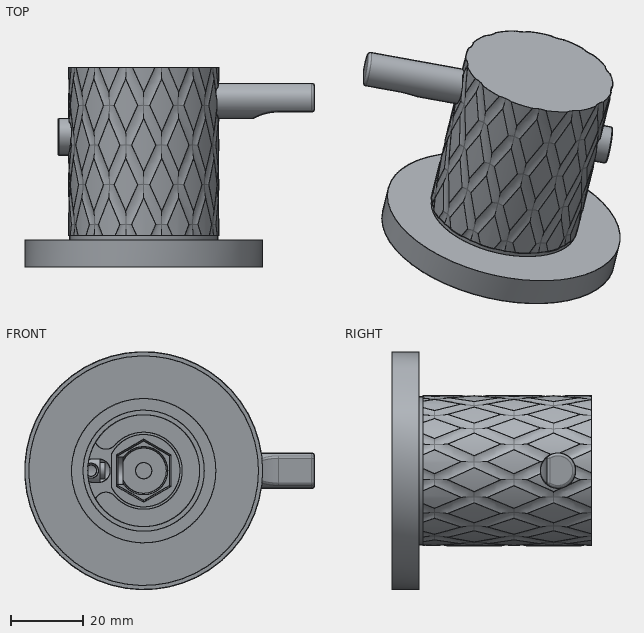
import cadquery as cq
import math


overall_length = 80.35

flange_diameter = 66.0
flange_thickness = 7.55
pan_diameter = 63.6
pan_depth = 6.35
boss_diameter = 40.0
boss_front = 4.5
collar_diameter = 33.6
collar_front = 1.1
bore_diameter = 31.0

ring_diameter = 41.1
ring_thickness = 1.1
spigot_diameter = 38.0
spigot_start = 5.9
spigot_end = 10.1

sleeve_diameter = 41.7
sleeve_start = flange_thickness + ring_thickness
sleeve_end = 55.4
floor_start = 26.5
column_count = 26
column_angle = 360 / column_count
row_height = 11.0
groove_node = 22.8
groove_width = 3.2
groove_depth = 0.4

keyhole_diameter = 21.4
keyhole_floor = 29.7
shoulder_radius = 3.2
shoulder_x = -10.45
window_width = 6.5
window_end_x = -12.5
window_outer_x = -14.1

hub_diameter = 20.1
hub_flat_x = -8.9
hub_end = 49.8
hex_across_flats = 14.3
hex_chamfer = 0.4
dish_diameter = 12.5
dish_rim_diameter = 13.3
dish_depth = 0.4
centre_hole_diameter = 4.5
centre_hole_depth = 4.0
catch_diameter = 7.55
catch_end_x = -5.8

button_diameter = 10.2
button_y = 36.1
button_outer_x = -23.8
button_shoulder_x = -12.05
button_edge = 0.25
neck_diameter = 4.5
neck_end_x = -10.7
cross_hole_diameter = 3.1
cross_hole_rim_diameter = 4.2
cross_hole_rim_depth = 0.5
cross_hole_x = -14.6

lever_diameter = 9.8
lever_y = 46.05
lever_root_x = 16.1
lever_tip_x = overall_length - flange_diameter / 2
lever_flat_depth = 1.85
lever_flat_start_x = 37.4
lever_runout_radius = 14.5
lever_edge_radius = 0.8
lever_cut_margin = 0.8
selection_margin = 0.1


def disc(diameter, start, end):
    """Cylinder about the Y axis between two Y positions."""
    return cq.Workplane("XZ", origin=(0, start, 0)).circle(diameter / 2).extrude(start - end)


def rod(diameter, y, start, end):
    """Cylinder parallel to X between two X positions."""
    return cq.Workplane("YZ", origin=(start, y, 0)).circle(diameter / 2).extrude(end - start)


def ring_spigot():
    """Short round of the spacer ring that enters both the flange and the sleeve."""
    return disc(spigot_diameter, spigot_start, spigot_end)


def make_flange():
    plate = disc(flange_diameter, 0, flange_thickness).cut(disc(pan_diameter, 0, pan_depth))
    boss = disc(boss_diameter, boss_front, flange_thickness)
    collar = disc(collar_diameter, collar_front, flange_thickness)
    return plate.union(boss).union(collar).cut(ring_spigot()).cut(disc(bore_diameter, 0, flange_thickness))


def make_spacer_ring():
    ring = disc(ring_diameter, flange_thickness, sleeve_start).union(ring_spigot())
    return ring.cut(disc(bore_diameter, spigot_start, spigot_end))


def along_y(shape):
    """Turn a shape built about Z to stand about +Y, with its +X side facing up."""
    return shape.rotate((0, 0, 0), (1, 0, 0), -90).rotate((0, 0, 0), (0, 1, 0), -90)


def column_wedge(length):
    """Wedge about Z, one groove column wide and reaching past the sleeve surface."""
    reach = sleeve_diameter
    angle = math.radians(column_angle)
    corner = (reach * math.cos(angle), reach * math.sin(angle))
    return cq.Workplane("XY").lineTo(reach, 0).lineTo(*corner).close().extrude(length)


def groove_cutter():
    """Round bar along a helix, trimmed to run between opposite corners of one column and row."""
    bar_radius = ((groove_width / 2) ** 2 + groove_depth ** 2) / (2 * groove_depth)
    path_radius = sleeve_diameter / 2 + bar_radius - groove_depth
    pitch = column_count * row_height
    path = cq.Wire.makeHelix(pitch, 2 * row_height, path_radius)
    start_plane = cq.Plane(
        origin=(path_radius, 0, 0),
        xDir=(1, 0, 0),
        normal=(0, 2 * math.pi * path_radius, pitch),
    )
    bar = cq.Workplane(start_plane).circle(bar_radius).sweep(cq.Workplane(path), isFrenet=True)
    bar = bar.rotate((0, 0, 0), (0, 0, 1), -column_angle / 2).translate((0, 0, -row_height / 2))
    return bar.intersect(column_wedge(row_height))


def grooved_column():
    """One wedge of the sleeve, with its groove zigzagging from row to row."""
    length = sleeve_end - sleeve_start
    blank = cq.Workplane("XY").circle(sleeve_diameter / 2).extrude(length)
    column = blank.intersect(column_wedge(length))
    rising = groove_cutter()
    falling = rising.mirror("XY").translate((0, 0, row_height))
    first_row = groove_node - sleeve_start - 2 * row_height
    row_count = math.ceil((length - first_row) / row_height)
    for row in range(row_count):
        cutter = rising if row % 2 == 0 else falling
        column = column.cut(cutter.translate((0, 0, first_row + row * row_height)))
    return column


def faces_along_axis(face):
    """True for a flat end face of a column built about Z."""
    return abs(face.normalAt().z) > abs(face.normalAt().x) + abs(face.normalAt().y)


def make_grooved_bar():
    """Solid sleeve blank joined from mirrored pairs of grooved columns."""
    right_column = grooved_column()
    pair = right_column.faces().vals() + right_column.mirror("XZ").faces().vals()
    skin = [face for face in pair if face.geomType() != "PLANE" or faces_along_axis(face)]
    faces = []
    for index in range(column_count // 2):
        angle = index * 2 * column_angle
        faces += [face.rotate((0, 0, 0), (0, 0, 1), angle) for face in skin]
    bar = cq.Solid.makeSolid(cq.Shell.makeShell(faces)).fix().clean()
    return along_y(cq.Workplane(bar)).translate((0, sleeve_start, 0))


def keyhole_recess():
    """Round recess around the hub that opens to the bore wall at -X between two rounded shoulders."""
    bore_radius = bore_diameter / 2
    round_radius = keyhole_diameter / 2
    centre_distance = round_radius + shoulder_radius
    centre_z = math.sqrt(centre_distance ** 2 - shoulder_x ** 2)
    tangent_x = shoulder_x * round_radius / centre_distance
    tangent_z = centre_z * round_radius / centre_distance
    centre_angle = math.atan2(centre_z, shoulder_x)
    wall_cosine = (centre_distance ** 2 + bore_radius ** 2 - shoulder_radius ** 2) / (
        2 * centre_distance * bore_radius
    )
    wall_angle = centre_angle + math.acos(wall_cosine)
    wall_x = bore_radius * math.cos(wall_angle)
    wall_z = bore_radius * math.sin(wall_angle)
    shoulder_z = centre_z - shoulder_radius
    outline = (
        cq.Workplane("XZ", origin=(0, floor_start, 0))
        .moveTo(tangent_x, tangent_z)
        .threePointArc((shoulder_x, shoulder_z), (wall_x, wall_z))
        .threePointArc((-bore_radius, 0), (wall_x, -wall_z))
        .threePointArc((shoulder_x, -shoulder_z), (tangent_x, -tangent_z))
        .threePointArc((round_radius, 0), (tangent_x, tangent_z))
        .close()
    )
    return outline.extrude(floor_start - keyhole_floor)


def button_window():
    """Round-ended slot from the keyhole floor to the middle of the button bore."""
    depth = button_y - keyhole_floor
    length = window_end_x - window_outer_x
    middle_x = (window_end_x + window_outer_x) / 2
    slot_start = cq.Workplane("XZ", origin=(middle_x, keyhole_floor, 0))
    return slot_start.slot2D(length + window_width, window_width).extrude(-depth)


def hub_blank():
    """Round of the hub with its flat facing the button, also the shape of its seat in the sleeve."""
    blank = disc(hub_diameter, keyhole_floor, hub_end)
    beyond_flat = cq.Workplane("XY").box(hub_diameter, 2 * hub_end, hub_diameter)
    return blank.cut(beyond_flat.translate((hub_flat_x - hub_diameter / 2, hub_end, 0)))


def make_sleeve():
    hollow = disc(bore_diameter, sleeve_start, floor_start).union(ring_spigot())
    hollow = hollow.union(keyhole_recess()).union(hub_blank()).union(button_window())
    hollow = hollow.union(rod(button_diameter, button_y, button_outer_x, hub_flat_x))
    lever_hole = rod(lever_diameter, lever_y, lever_root_x, lever_tip_x)
    return make_grooved_bar().cut(hollow).cut(lever_hole)


def cone(start_diameter, end_diameter, start, end):
    """Tapered round about the Y axis between two Y positions."""
    return (
        cq.Workplane("XZ", origin=(0, start, 0))
        .circle(start_diameter / 2)
        .workplane(offset=start - end)
        .circle(end_diameter / 2)
        .loft()
    )


def hex_prism(across_flats, start, end, end_across_flats):
    """Hexagon about the Y axis with corners at +Z and -Z, tapered between two sizes."""
    corner_ratio = 1 / math.cos(math.pi / 6)
    return (
        cq.Workplane("XZ", origin=(0, start, 0))
        .transformed(rotate=(0, 0, 90))
        .polygon(6, across_flats * corner_ratio)
        .workplane(offset=start - end)
        .polygon(6, end_across_flats * corner_ratio)
        .loft(ruled=True)
    )


def make_hub():
    hub = hub_blank()
    chamfer_end = keyhole_floor + hex_chamfer
    mouth = hex_across_flats + 2 * hex_chamfer
    hub = hub.cut(hex_prism(mouth, keyhole_floor, chamfer_end, hex_across_flats))
    hub = hub.cut(hex_prism(hex_across_flats, chamfer_end, button_y, hex_across_flats))
    dish_floor = button_y + dish_depth
    hub = hub.cut(cone(dish_rim_diameter, dish_diameter, button_y, dish_floor))
    hub = hub.cut(disc(centre_hole_diameter, dish_floor, dish_floor + centre_hole_depth))
    return hub.cut(rod(catch_diameter, button_y, hub_flat_x, catch_end_x))


def make_button():
    button = rod(button_diameter, button_y, button_outer_x, button_shoulder_x)
    button = button.faces("<X").edges().chamfer(button_edge)
    button = button.union(rod(neck_diameter, button_y, button_shoulder_x, neck_end_x))
    front = button_y - button_diameter / 2
    back = button_y + button_diameter / 2
    rim_end = front + cross_hole_rim_depth
    sink_end = rim_end + (cross_hole_rim_diameter - cross_hole_diameter) / 2
    hole = disc(cross_hole_diameter, front, back)
    hole = hole.union(disc(cross_hole_rim_diameter, front, rim_end))
    hole = hole.union(cone(cross_hole_rim_diameter, cross_hole_diameter, rim_end, sink_end))
    return button.cut(hole.translate((cross_hole_x, 0, 0)))


def make_lever():
    lever = rod(lever_diameter, lever_y, lever_root_x, lever_tip_x)
    radius = lever_diameter / 2
    flat_y = lever_y - radius + lever_flat_depth
    drop = lever_flat_depth + lever_cut_margin
    outer_y = flat_y - drop
    runout_x = lever_flat_start_x - math.sqrt(lever_runout_radius ** 2 - (lever_runout_radius - drop) ** 2)
    half_angle = math.acos(1 - drop / lever_runout_radius) / 2
    middle_x = lever_flat_start_x - lever_runout_radius * math.sin(half_angle)
    middle_y = flat_y - lever_runout_radius * (1 - math.cos(half_angle))
    flat_cut = (
        cq.Workplane("XY")
        .moveTo(lever_tip_x, outer_y)
        .lineTo(lever_tip_x, flat_y)
        .lineTo(lever_flat_start_x, flat_y)
        .threePointArc((middle_x, middle_y), (runout_x, outer_y))
        .close()
        .extrude(radius, both=True)
    )
    lever = lever.cut(flat_cut)
    flat_sides = cq.selectors.BoxSelector(
        (lever_flat_start_x, flat_y - selection_margin, -radius),
        (lever_tip_x, flat_y + selection_margin, radius),
    )
    lever = lever.edges("|X").edges(flat_sides).fillet(lever_edge_radius)
    return lever.faces(">X").edges().fillet(lever_edge_radius)


flange = make_flange()
spacer_ring = make_spacer_ring()
sleeve = make_sleeve()
hub = make_hub()
button = make_button()
lever = make_lever()

bodies = [flange, spacer_ring, sleeve, hub, button, lever]
result = cq.Compound.makeCompound([body.val() for body in bodies])